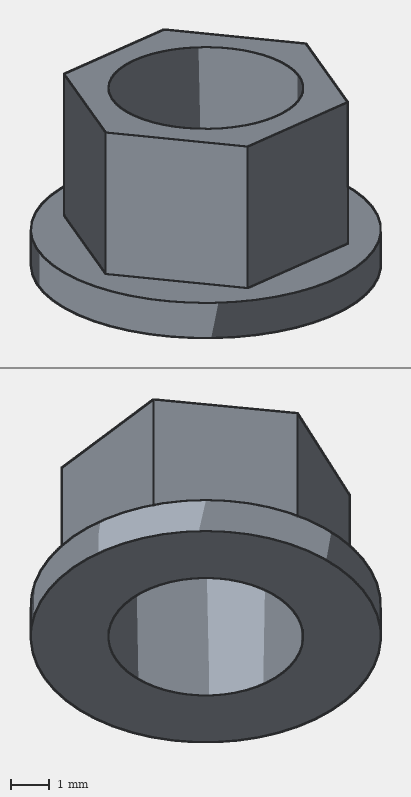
import cadquery as cq

flange_diameter = 9.0
total_height = 5.0
flange_thickness = 1.0
hex_across_corners = 7.5
bore_diameter = 5.0

hex_height = total_height - flange_thickness

flange = cq.Workplane("XY").circle(flange_diameter / 2).extrude(flange_thickness)

hex_body = (
    cq.Workplane("XY")
    .workplane(offset=flange_thickness)
    .polygon(6, hex_across_corners)
    .extrude(hex_height)
)

bore = cq.Workplane("XY").circle(bore_diameter / 2).extrude(total_height)

result = flange.union(hex_body).cut(bore)